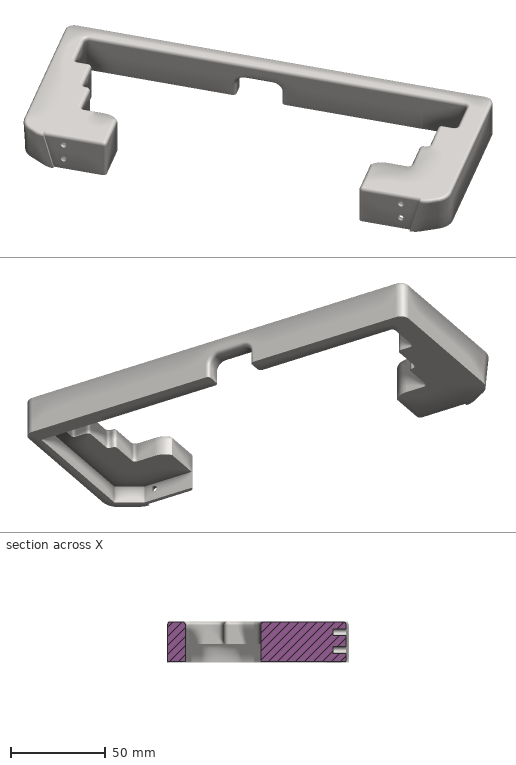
import cadquery as cq
import math

length = 235.5
width = 96.3
height = 22.0
half_length = length / 2
back_y = width / 2
front_y = -width / 2

outer_top_radius = 1.5
inner_radius = 2.0
back_corner_radius = 5.0
front_corner_radius = 10.0

back_wall = 9.7
side_walls = [12.2, 22.1, 26.9]
step_depths = [30.2, 49.5, 68.5]
leg_width = 48.0
leg_arc_radius = 10.0
leg_arc_width = 8.0

flat_angle = 30.0
flat_width_bottom = 16.5
flat_width_top = 10.5

front_recess = 1.5
pad_margin = 0.5

notch_x = -9.7
notch_width = 25.5
notch_height = 12.7
notch_radius = 5.2

hole_diameter = 3.3
hole_depth = 7.0
hole_inset = 24.7
hole_heights = [6.8, 16.3]

underside_rise = 0.5

pocket_height = 10.0
pocket_side_wall = 5.2
pocket_front_wall = 2.4
pocket_inner_inset = 37.5
pocket_wall_relief = 0.12
pocket_corner_x = 13.7
pocket_corner_y = 8.0

over = 2.4
tolerance = 0.2

leg_front_y = front_y + front_recess
leg_inner_x = half_length - leg_width
leg_back_y = back_y - step_depths[-1]


def mirrored(body):
    """Return a body together with its mirror image across X = 0."""
    return body.union(body.mirror("YZ"))


def slanted_prism(outline, shift):
    """Prism over the full height whose top is the bottom outline shifted along X."""
    top = [(x + shift, y) for x, y in outline]
    return (
        cq.Workplane("XY").polyline(outline).close()
        .workplane(offset=height).polyline(top).close()
        .loft(ruled=True)
    )


def corner_cutter():
    """Wedge that leaves the tilted flat on the +X front corner."""
    reach = 23.5
    rise = reach * math.tan(math.radians(flat_angle))
    foot_x = half_length - flat_width_bottom
    outline = [
        (foot_x - reach, front_y - rise),
        (foot_x + 2 * reach, front_y - rise),
        (foot_x + 2 * reach, front_y + 2 * rise),
    ]
    return slanted_prism(outline, flat_width_bottom - flat_width_top)


def outer_block():
    """Solid block with rounded back corners, blended front corners and a rounded top rim."""
    block = cq.Workplane("XY").box(length, width, height, centered=(True, True, False))
    block = block.edges("|Z and >Y").fillet(back_corner_radius)
    block = block.cut(mirrored(corner_cutter()))
    corner_box = cq.selectors.BoxSelector(
        (-length, front_y - over, height / 4), (length, front_y + width / 4, height * 3 / 4)
    )
    block = block.edges(corner_box).fillet(front_corner_radius)
    return block.faces(">Z").edges().fillet(outer_top_radius)


def opening():
    """Stepped opening between the legs, reaching out through the front."""
    xs = [half_length - wall for wall in side_walls]
    ys = [back_y - depth for depth in step_depths]
    arc_start_x = leg_inner_x + leg_arc_width
    arc_drop = leg_arc_radius - math.sqrt(leg_arc_radius**2 - leg_arc_width**2)
    half = (
        cq.Workplane("XY")
        .moveTo(0, back_y - back_wall)
        .lineTo(xs[0], back_y - back_wall)
        .lineTo(xs[0], ys[0])
        .lineTo(xs[1], ys[0])
        .lineTo(xs[1], ys[1])
        .lineTo(xs[2], ys[1])
        .lineTo(xs[2], ys[2])
        .lineTo(arc_start_x, ys[2])
        .radiusArc((leg_inner_x, ys[2] - arc_drop), -leg_arc_radius)
        .lineTo(leg_inner_x, front_y - over)
        .lineTo(0, front_y - over)
        .close()
        .extrude(height)
    )
    return mirrored(half)


def corner_pads():
    """Slanted prisms that hold the corner material standing proud of the leg fronts."""
    blend_length = front_corner_radius * math.tan(math.radians(flat_angle / 2))
    edge_x = half_length - flat_width_bottom - blend_length - pad_margin
    outer_x = half_length + over
    pad_back_y = leg_front_y + inner_radius
    outline = [(edge_x, front_y), (outer_x, front_y), (outer_x, pad_back_y), (edge_x, pad_back_y)]
    return mirrored(slanted_prism(outline, flat_width_bottom - flat_width_top))


def opening_corner_edges(body):
    """Upright edges of the steps and of the leg ends; the large leg arcs stay as they are."""
    step_min_x = leg_inner_x + leg_arc_width + tolerance
    step_max_x = half_length - side_walls[0] + tolerance
    step_max_y = back_y - back_wall + tolerance
    uprights = body.edges("|Z")
    edges = cq.Workplane("XY").newObject([])
    for side in (-1, 1):
        steps = cq.selectors.BoxSelector(
            (side * step_min_x, leg_back_y - tolerance, 0), (side * step_max_x, step_max_y, height)
        )
        leg_end = cq.selectors.BoxSelector(
            (side * (leg_inner_x - tolerance), leg_front_y - tolerance, 0),
            (side * (leg_inner_x + tolerance), leg_front_y + tolerance, height),
        )
        edges = edges.add(uprights.edges(steps)).add(uprights.edges(leg_end))
    return edges.vals()


def opening_rim_edges(body):
    """Top edges around the opening and along the leg fronts."""
    reach_x = half_length - side_walls[0] + tolerance
    rim = cq.selectors.BoxSelector(
        (-reach_x, leg_front_y - tolerance, height - tolerance),
        (reach_x, back_y - back_wall + tolerance, height + tolerance),
    )
    return body.faces(">Z").edges().edges(rim).vals()


def frame():
    """Square-cornered U with its opening and leg fronts rounded."""
    body = (
        cq.Workplane("XY", origin=(0, leg_front_y, 0))
        .box(length, back_y - leg_front_y, height, centered=(True, False, False))
        .cut(opening())
    )
    edges = opening_corner_edges(body) + opening_rim_edges(body)
    return body.newObject(edges).fillet(inner_radius)


def notch():
    """Round-topped cable notch through the back wall."""
    return (
        cq.Workplane("XZ", origin=(notch_x, back_y, 0))
        .rect(notch_width, 2 * notch_height)
        .extrude(back_wall)
        .edges("|Y").fillet(notch_radius)
    )


def round_notch_mouths(body):
    """Round the notch edges on both faces of the back wall."""
    reach_x = notch_width / 2 + tolerance
    mouths = cq.selectors.BoxSelector(
        (notch_x - reach_x, back_y - back_wall - tolerance, tolerance),
        (notch_x + reach_x, back_y + tolerance, notch_height + tolerance),
    )
    return body.edges(mouths).edges("not |Y").fillet(inner_radius)


def pocket():
    """Pocket under the +X leg, open towards the opening."""
    outer_x = half_length - pocket_side_wall
    pocket_back_y = back_y - back_wall + pocket_wall_relief
    pocket_front_y = leg_front_y + pocket_front_wall
    return (
        cq.Workplane("XY")
        .moveTo(half_length - pocket_inner_inset, pocket_back_y)
        .lineTo(outer_x, pocket_back_y)
        .lineTo(outer_x, pocket_front_y + pocket_corner_y)
        .lineTo(outer_x - pocket_corner_x, pocket_front_y)
        .lineTo(leg_inner_x - over, pocket_front_y)
        .lineTo(leg_inner_x - over, leg_back_y + over)
        .lineTo(half_length - pocket_inner_inset, leg_back_y + over)
        .close()
        .extrude(pocket_height)
    )


def underside_trim():
    """Thin layer below the -X half, ending inside the notch."""
    trim_length = half_length + notch_x
    return (
        cq.Workplane("XY", origin=(-half_length, 0, 0))
        .box(trim_length, width, underside_rise, centered=(False, True, False))
    )


def screw_holes():
    """Blind holes in the +X leg front."""
    places = [(half_length - hole_inset, z) for z in hole_heights]
    return (
        cq.Workplane("XZ", origin=(0, leg_front_y, 0))
        .pushPoints(places)
        .circle(hole_diameter / 2)
        .extrude(-hole_depth)
    )


block = outer_block()
body = block.intersect(frame()).union(block.intersect(corner_pads()))

body = round_notch_mouths(body.cut(notch()))
result = body.cut(pocket()).cut(mirrored(screw_holes())).cut(underside_trim())